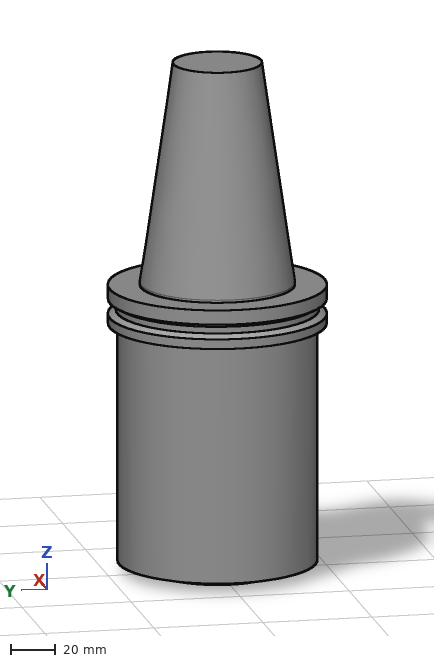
import cadquery as cq

total_height = 235.0

body_diameter = 90.0
end_face_diameter = 55.5
end_cone_height = 5.0

flange_diameter = 98.5
groove_diameter = 91.5
flange_bottom = 114.5
flange_thickness = 17.9
lower_rim_height = 4.5
upper_rim_height = 6.5
flank_height = 1.9

taper_diameter = 69.8
collar_height = 1.2
taper_ratio = 7 / 24

flange_top = flange_bottom + flange_thickness
groove_bottom = flange_bottom + lower_rim_height
groove_top = flange_top - upper_rim_height
taper_bottom = flange_top + collar_height
taper_tip_diameter = taper_diameter - (total_height - taper_bottom) * taper_ratio

section = [
    (end_face_diameter, 0),
    (body_diameter, end_cone_height),
    (body_diameter, flange_bottom),
    (flange_diameter, flange_bottom),
    (flange_diameter, groove_bottom),
    (groove_diameter, groove_bottom + flank_height),
    (groove_diameter, groove_top - flank_height),
    (flange_diameter, groove_top),
    (flange_diameter, flange_top),
    (taper_diameter, flange_top),
    (taper_diameter, taper_bottom),
    (taper_tip_diameter, total_height),
]
outline = [(0, 0)] + [(diameter / 2, z) for diameter, z in section] + [(0, total_height)]

result = cq.Workplane("XZ").polyline(outline).close().revolve(360, (0, 0, 0), (0, 1, 0))